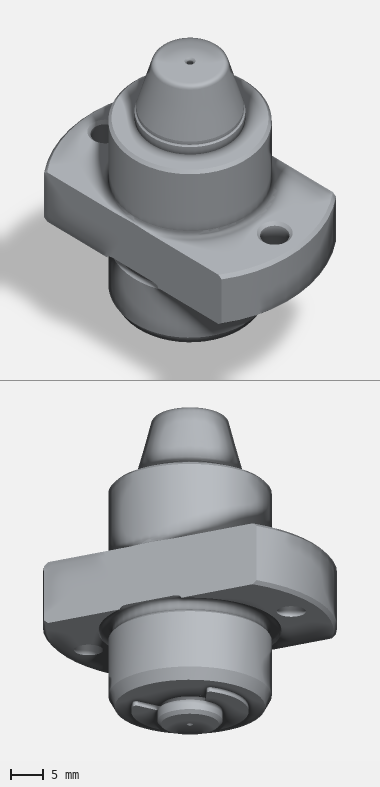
import cadquery as cq
import math

HEAD_TOP_Z = 2.1
HOUSING_BOTTOM_Z = 2.85
LOWER_BARREL_TOP_Z = 14.2
FLANGE_BOTTOM_Z = 15.3
FLANGE_THICKNESS = 10.0
FLANGE_TOP_Z = FLANGE_BOTTOM_Z + FLANGE_THICKNESS
HOUSING_TOP_Z = 38.3
COLLAR_TOP_Z = 40.05
CONE_BOTTOM_Z = 40.7
PIN_TOP_Z = 49.9

BARREL_DIAMETER = 25.0
BARREL_RADIUS = BARREL_DIAMETER / 2
TOP_CHAMFER = 0.5
LEAD_IN_WIDTH = 1.0
LEAD_IN_HEIGHT = 1.8
NECK_RADIUS = 12.0
NECK_CHAMFER = BARREL_RADIUS - NECK_RADIUS
BARREL_FILLET = 1.0

FLANGE_RADIUS = 22.5
FLANGE_WIDTH = 26.0
FLANGE_CHAMFER = 0.55
UNDERCUT_RADIUS = 14.0
UNDERCUT_DEPTH = 0.6
UNDERCUT_FILLET = 0.5
BOLT_HOLE_OFFSET = 17.5
BOLT_HOLE_RADIUS = 2.25
BOLT_HOLE_CHAMFER = 0.5

SHAFT_RADIUS = 5.0
HEAD_CHAMFER = 0.55
GROOVE_RADIUS = 4.5
COLLAR_RADIUS = 8.5
CONE_BASE_RADIUS = 8.25
COLLAR_CHAMFER = COLLAR_RADIUS - CONE_BASE_RADIUS
CONE_HALF_ANGLE = 15.0
TIP_FILLET = 0.9
BORE_RADIUS = 0.5
BORE_CHAMFER = 0.35

RING_RADIUS = 9.0
RING_CORNER_FILLET = 0.55
MOUTH_HALF_ANGLE = 30.0
MOUTH_WALL_OFFSET = 2.25


def axial_cylinder(radius, bottom_z, top_z):
    return cq.Workplane("XY").workplane(offset=bottom_z).circle(radius).extrude(top_z - bottom_z)


def revolved(profile):
    """Turn a closed (radius, height) outline about the Z axis."""
    return profile.close().revolve(360, (0, 0, 0), (0, 1, 0))


def flange_blank():
    """Chamfered disc cut to two parallel flats."""
    disc = axial_cylinder(FLANGE_RADIUS, FLANGE_BOTTOM_Z, FLANGE_TOP_Z).edges().chamfer(FLANGE_CHAMFER)
    flats = cq.Workplane("XY").box(
        2 * FLANGE_RADIUS, FLANGE_WIDTH, FLANGE_THICKNESS, centered=(True, True, False)
    )
    return disc.intersect(flats.translate((0, 0, FLANGE_BOTTOM_Z)))


def lower_barrel():
    """Tapered at its lower end, with a thinner neck running up into the flange."""
    return revolved(
        cq.Workplane("XZ")
        .moveTo(0, HOUSING_BOTTOM_Z)
        .lineTo(BARREL_RADIUS - LEAD_IN_WIDTH, HOUSING_BOTTOM_Z)
        .lineTo(BARREL_RADIUS, HOUSING_BOTTOM_Z + LEAD_IN_HEIGHT)
        .lineTo(BARREL_RADIUS, LOWER_BARREL_TOP_Z - NECK_CHAMFER)
        .lineTo(NECK_RADIUS, LOWER_BARREL_TOP_Z)
        .lineTo(NECK_RADIUS, FLANGE_TOP_Z)
        .lineTo(0, FLANGE_TOP_Z)
    )


def upper_barrel():
    """Chamfered at the top and flared into the flange, trimmed to the width between the flats."""
    flare_radius = BARREL_RADIUS + BARREL_FILLET
    flare_top_z = FLANGE_TOP_Z + BARREL_FILLET
    mid_reach = BARREL_FILLET * math.sqrt(0.5)
    barrel = revolved(
        cq.Workplane("XZ")
        .moveTo(0, FLANGE_TOP_Z)
        .lineTo(flare_radius, FLANGE_TOP_Z)
        .threePointArc((flare_radius - mid_reach, flare_top_z - mid_reach), (BARREL_RADIUS, flare_top_z))
        .lineTo(BARREL_RADIUS, HOUSING_TOP_Z - TOP_CHAMFER)
        .lineTo(BARREL_RADIUS - TOP_CHAMFER, HOUSING_TOP_Z)
        .lineTo(0, HOUSING_TOP_Z)
    )
    flats = cq.Workplane("XY").box(
        2 * flare_radius, FLANGE_WIDTH, HOUSING_TOP_Z - FLANGE_TOP_Z, centered=(True, True, False)
    )
    return barrel.intersect(flats.translate((0, 0, FLANGE_TOP_Z)))


def flange_undercut():
    """Ring-shaped recess with a rounded floor, around the neck in the underside of the flange."""
    ceiling_z = FLANGE_BOTTOM_Z + UNDERCUT_DEPTH
    ring = axial_cylinder(UNDERCUT_RADIUS, FLANGE_BOTTOM_Z, ceiling_z).cut(
        axial_cylinder(NECK_RADIUS, FLANGE_BOTTOM_Z, ceiling_z)
    )
    return ring.faces(">Z").edges().fillet(UNDERCUT_FILLET)


def bolt_hole(x):
    """Through hole in the flange, chamfered at the upper face."""
    mouth_radius = BOLT_HOLE_RADIUS + BOLT_HOLE_CHAMFER
    hole = revolved(
        cq.Workplane("XZ")
        .moveTo(0, FLANGE_BOTTOM_Z)
        .lineTo(BOLT_HOLE_RADIUS, FLANGE_BOTTOM_Z)
        .lineTo(BOLT_HOLE_RADIUS, FLANGE_TOP_Z - BOLT_HOLE_CHAMFER)
        .lineTo(mouth_radius, FLANGE_TOP_Z)
        .lineTo(0, FLANGE_TOP_Z)
    )
    return hole.translate((x, 0, 0))


def make_housing():
    flange = flange_blank().cut(flange_undercut())
    for side in (-1, 1):
        flange = flange.cut(bolt_hole(side * BOLT_HOLE_OFFSET))
    shaft_bore = axial_cylinder(SHAFT_RADIUS, HOUSING_BOTTOM_Z, HOUSING_TOP_Z)
    return flange.union(lower_barrel()).union(upper_barrel()).cut(shaft_bore)


def pin_blank():
    """Turned pin: head, ring groove, shaft, collar and rounded cone."""
    cone_angle = math.radians(CONE_HALF_ANGLE)
    sharp_tip_radius = CONE_BASE_RADIUS - (PIN_TOP_Z - CONE_BOTTOM_Z) * math.tan(cone_angle)
    blank = revolved(
        cq.Workplane("XZ")
        .moveTo(0, 0)
        .lineTo(SHAFT_RADIUS - HEAD_CHAMFER, 0)
        .lineTo(SHAFT_RADIUS, HEAD_CHAMFER)
        .lineTo(SHAFT_RADIUS, HEAD_TOP_Z)
        .lineTo(GROOVE_RADIUS, HEAD_TOP_Z)
        .lineTo(GROOVE_RADIUS, HOUSING_BOTTOM_Z)
        .lineTo(SHAFT_RADIUS, HOUSING_BOTTOM_Z)
        .lineTo(SHAFT_RADIUS, HOUSING_TOP_Z)
        .lineTo(COLLAR_RADIUS, HOUSING_TOP_Z)
        .lineTo(COLLAR_RADIUS, COLLAR_TOP_Z - COLLAR_CHAMFER)
        .lineTo(CONE_BASE_RADIUS, COLLAR_TOP_Z)
        .lineTo(CONE_BASE_RADIUS, CONE_BOTTOM_Z)
        .lineTo(sharp_tip_radius, PIN_TOP_Z)
        .lineTo(0, PIN_TOP_Z)
    )
    return blank.faces(">Z").edges().fillet(TIP_FILLET)


def retaining_ring():
    """Disc with a V-shaped mouth whose outer corners are rounded."""
    mouth_angle = math.radians(MOUTH_HALF_ANGLE)
    apex_y = MOUTH_WALL_OFFSET / math.sin(mouth_angle)
    mouth_end_y = -RING_RADIUS
    mouth_half_width = (apex_y - mouth_end_y) * math.tan(mouth_angle)
    mouth = (
        cq.Workplane("XY")
        .workplane(offset=HEAD_TOP_Z)
        .moveTo(0, apex_y)
        .lineTo(-mouth_half_width, mouth_end_y)
        .lineTo(mouth_half_width, mouth_end_y)
        .close()
        .extrude(HOUSING_BOTTOM_Z - HEAD_TOP_Z)
    )
    ring = axial_cylinder(RING_RADIUS, HEAD_TOP_Z, HOUSING_BOTTOM_Z).cut(mouth)
    return ring.edges("|Z").edges("<Y").fillet(RING_CORNER_FILLET)


def pin_bore():
    """Fine hole through the whole pin, chamfered at the tip."""
    return revolved(
        cq.Workplane("XZ")
        .moveTo(0, 0)
        .lineTo(BORE_RADIUS, 0)
        .lineTo(BORE_RADIUS, PIN_TOP_Z - BORE_CHAMFER)
        .lineTo(BORE_RADIUS + BORE_CHAMFER, PIN_TOP_Z)
        .lineTo(0, PIN_TOP_Z)
    )


def make_pin():
    return pin_blank().union(retaining_ring()).cut(pin_bore())


housing = make_housing()
pin = make_pin()
result = cq.Compound.makeCompound([housing.solids().val(), pin.solids().val()])